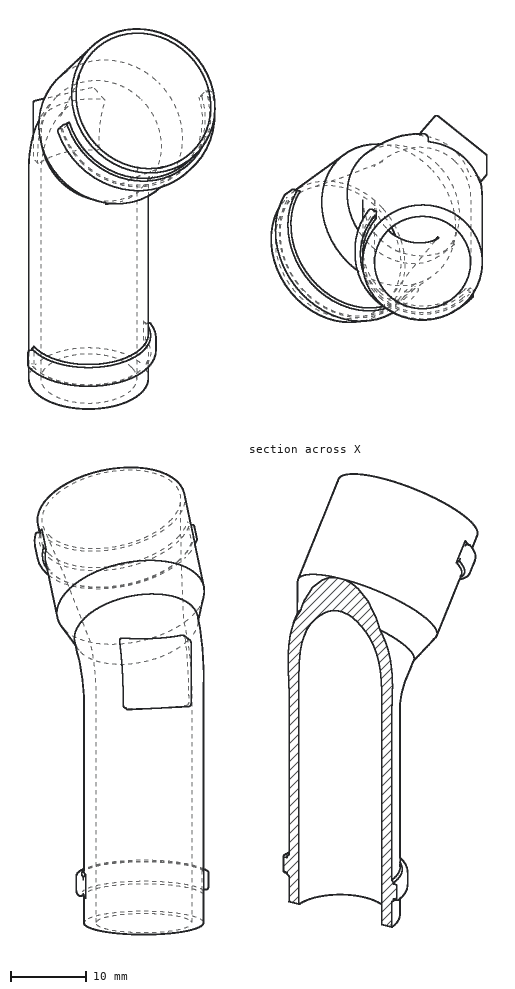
import cadquery as cq
import math

tube_radius = 16.0 / 2
bore_radius = 12.8 / 2
tube_length = 31.0

bend_radius = 10.0
bend_angle = 45.0
neck_radius = 8.4
neck_length = 1.55

flare_length = 4.3
socket_radius = 20.0 / 2
socket_length = 14.95
mouth_radius = 18.8 / 2
socket_floor_radius = 16.0 / 2
socket_depth = 8.1

tube_rib_height = 1.0
socket_rib_height = 0.95
rib_width = 2.65
rib_edge = 0.35
rib_foot = 0.3
foot_overlap = 0.3
tube_rib_center = 5.3
socket_rib_from_mouth = 4.25

pad_face_x = -8.25
pad_inner_x = -2.4
pad_width = 9.0
pad_bottom = 30.75
pad_top = 39.85
pad_edge = 0.35

turn = math.radians(bend_angle)
bend_end = (bend_radius * (1 - math.cos(turn)), 0, tube_length + bend_radius * math.sin(turn))
outlet = cq.Plane(
    origin=bend_end,
    xDir=(math.cos(turn), 0, -math.sin(turn)),
    normal=(math.sin(turn), 0, math.cos(turn)),
)
socket_start = neck_length + flare_length
mouth = socket_start + socket_length


def straight_and_bend(radius, end_radius):
    """Solid round bar along the tube and round the elbow, widening to end_radius."""
    straight = cq.Workplane("XY").circle(radius).extrude(tube_length)
    bend_path = cq.Workplane("XZ").moveTo(0, tube_length).radiusArc((bend_end[0], bend_end[2]), bend_radius)
    start_wire = cq.Wire.assembleEdges([cq.Edge.makeCircle(radius, cq.Vector(0, 0, tube_length))])
    end_wire = cq.Wire.assembleEdges([cq.Edge.makeCircle(end_radius, outlet.origin, outlet.zDir)])
    bend = cq.Workplane(cq.Solid.sweep_multi([start_wire, end_wire], bend_path.val()))
    return straight.union(bend)


def outlet_turned(profile):
    """Solid turned about the outlet axis from (radius, height) points."""
    plane = cq.Plane(origin=bend_end, xDir=outlet.xDir, normal=(0, -1, 0))
    return (
        cq.Workplane(plane)
        .polyline([(0, profile[0][1])] + profile + [(0, profile[-1][1])])
        .close()
        .revolve(360, (0, 0, 0), (0, 1, 0))
    )


def half_ring_rib(plane, radius, height):
    """Rounded rib over the local +X half of a cylinder, centred on the plane."""
    outer = radius + height
    ring = cq.Workplane(plane).circle(outer).extrude(rib_width / 2, both=True)
    half = cq.Workplane(plane).center(outer / 2, 0).rect(outer, 2 * outer).extrude(rib_width, both=True)
    rib = ring.intersect(half).edges().fillet(rib_edge)

    profile_plane = cq.Plane(origin=plane.origin, xDir=plane.yDir, normal=plane.xDir)
    foot_half_width = rib_width / 2 + rib_foot
    foot = (
        cq.Workplane(profile_plane)
        .polyline([
            (radius - foot_overlap, -foot_half_width),
            (radius, -foot_half_width),
            (radius + rib_foot, -rib_width / 2),
            (radius + rib_foot, rib_width / 2),
            (radius, foot_half_width),
            (radius - foot_overlap, foot_half_width),
        ])
        .close()
        .revolve(180, (0, 0, 0), (0, -1, 0))
    )
    return rib.union(foot)


def elbow_pad():
    """Square pad with rounded outer edges, reaching into the elbow wall."""
    return (
        cq.Workplane("XY")
        .box(pad_inner_x - pad_face_x, pad_width, pad_top - pad_bottom, centered=(False, True, False))
        .translate((pad_face_x, 0, pad_bottom))
        .edges("|X or <X")
        .fillet(pad_edge)
    )


outer_body = straight_and_bend(tube_radius, neck_radius).union(
    outlet_turned([
        (neck_radius, 0),
        (neck_radius, neck_length),
        (socket_radius, socket_start),
        (socket_radius, mouth),
    ])
)
passage = straight_and_bend(bore_radius, bore_radius).union(
    outlet_turned([
        (bore_radius, 0),
        (bore_radius, neck_length),
        (socket_floor_radius, mouth - socket_depth),
        (mouth_radius, mouth),
    ])
)

tube_rib_plane = cq.Plane(origin=(0, 0, tube_rib_center))
socket_rib_plane = cq.Plane(
    origin=outlet.toWorldCoords((0, 0, mouth - socket_rib_from_mouth)),
    xDir=outlet.xDir,
    normal=outlet.zDir,
)

result = (
    outer_body
    .union(half_ring_rib(tube_rib_plane, tube_radius, tube_rib_height))
    .union(half_ring_rib(socket_rib_plane, socket_radius, socket_rib_height))
    .union(elbow_pad())
    .cut(passage)
)